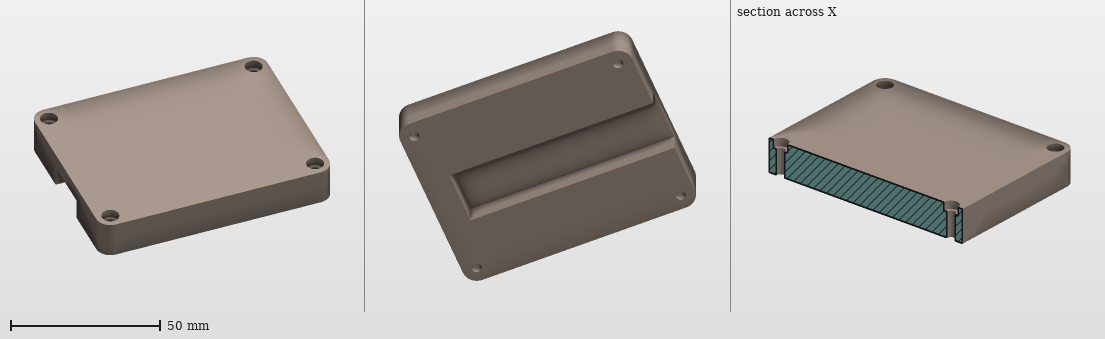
import cadquery as cq

width = 65.2
length = 83.9
height = 13.0
corner_radius = 5.0

screw_hole_diameter = 3.4
counterbore_diameter = 6.0
counterbore_depth = 3.1
screw_spacing_x = width - 2 * corner_radius
screw_spacing_y = length - 2 * corner_radius

slot_width = 18.8
slot_height = 7.5
slot_center_x = 0.3
slot_end_wall = 2 * corner_radius
slot_length = length - slot_end_wall


def make_block():
    """Flat block with rounded vertical corners, resting on Z = 0."""
    block = cq.Workplane("XY").box(width, length, height, centered=(True, True, False))
    return block.edges("|Z").fillet(corner_radius)


def cut_screw_holes(body):
    """Four through holes, counterbored from the top face."""
    return (
        body.faces(">Z")
        .workplane(origin=(0, 0, height))
        .rect(screw_spacing_x, screw_spacing_y, forConstruction=True)
        .vertices()
        .cboreHole(screw_hole_diameter, counterbore_diameter, counterbore_depth)
    )


def cut_slot(body):
    """Slot running back from the front face and stopping short of the rear."""
    slot = (
        cq.Workplane("XY")
        .box(slot_width, slot_length, slot_height, centered=(True, False, False))
        .translate((slot_center_x, -length / 2, 0))
    )
    return body.cut(slot)


result = cut_slot(cut_screw_holes(make_block()))